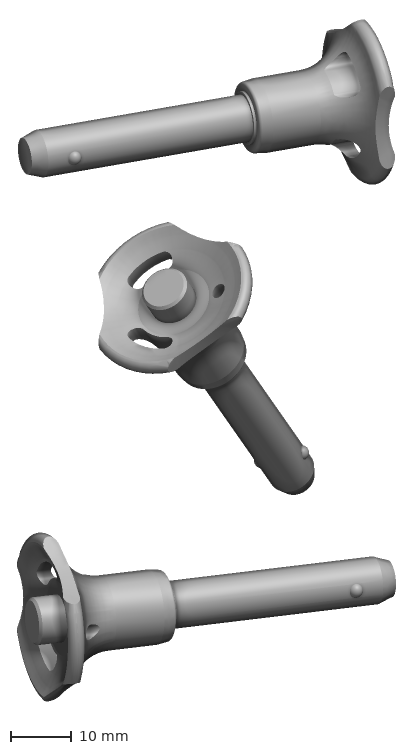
import cadquery as cq
import math


total_length = 62.5
pin_diameter = 7.95
pin_radius = pin_diameter / 2
tip_radius = 3.05
tip_chamfer_length = 2.55
ball_radius = 1.25
ball_depth = 55.25
ball_reach = 4.75
button_chamfer = 0.45

back_depth = 1.6
rim_diameter = 28.8
rim_outer_radius = rim_diameter / 2
rim_round_radius = 1.4
sleeve_radius = 6.25
sleeve_depth = 12.5
flare_radius = 8.1
taper_depth = 20.9
taper_radius = 6.0
nose_depth = 22.7
nose_round_radius = 0.5
collar_radius = 4.5
collar_depth = 23.6

dish_middle_radius = 11.45
dish_middle_depth = 2.55
dish_floor_radius = 6.25
dish_floor_depth = 4.75

scallop_count = 3
scallop_radius = 31.85
scallop_bottom = 11.45

opening_circle_radius = 8.1
hole_radius = 1.25
slot_width = 2.8
slot_half_angle = 29.8
slot_corner_radius = 1.25
slot_angles = (60.0, -60.0)


def revolve_about_y(profile):
    return profile.close().revolve(360, (0, 0, 0), (0, 1, 0))


def along_y(shape):
    """Turn a shape extruded along +Z so that it runs towards -Y, with its XY plane becoming XZ."""
    return shape.rotate((0, 0, 0), (1, 0, 0), 90)


def make_handle():
    round_center = rim_outer_radius - rim_round_radius
    rim_middle = back_depth + rim_round_radius
    flare_center = sleeve_radius + flare_radius
    flare_end_depth = sleeve_depth - math.sqrt(flare_radius**2 - (flare_center - round_center) ** 2)
    flare_mid_offset = flare_radius * math.sqrt(0.5)
    rim_mid_offset = rim_round_radius * math.sqrt(0.5)
    nose_end = nose_depth + nose_round_radius
    nose_round_inset = nose_round_radius * (1 - math.sqrt(0.5))
    profile = (
        cq.Workplane("XY")
        .moveTo(0, -dish_floor_depth)
        .lineTo(dish_floor_radius, -dish_floor_depth)
        .threePointArc((dish_middle_radius, -dish_middle_depth), (round_center, -back_depth))
        .threePointArc(
            (round_center + rim_mid_offset, -rim_middle + rim_mid_offset),
            (rim_outer_radius, -rim_middle),
        )
        .threePointArc(
            (round_center + rim_mid_offset, -rim_middle - rim_mid_offset),
            (round_center, -flare_end_depth),
        )
        .threePointArc(
            (flare_center - flare_mid_offset, -sleeve_depth + flare_mid_offset),
            (sleeve_radius, -sleeve_depth),
        )
        .lineTo(sleeve_radius, -taper_depth)
        .lineTo(taper_radius, -nose_depth)
        .threePointArc(
            (taper_radius - nose_round_inset, -nose_end + nose_round_inset),
            (taper_radius - nose_round_radius, -nose_end),
        )
        .lineTo(collar_radius, -nose_end)
        .lineTo(collar_radius, -collar_depth)
        .lineTo(0, -collar_depth)
    )
    return revolve_about_y(profile)


def make_scallops():
    center_distance = scallop_bottom + scallop_radius
    cutters = (
        cq.Workplane("XY")
        .polarArray(center_distance, 0, 360, scallop_count)
        .circle(scallop_radius)
        .extrude(sleeve_depth)
    )
    return along_y(cutters)


def make_openings():
    openings = cq.Workplane("XY").center(-opening_circle_radius, 0).circle(hole_radius).extrude(sleeve_depth)

    def slot_point(radius, angle):
        return radius * math.cos(math.radians(angle)), radius * math.sin(math.radians(angle))

    inner = opening_circle_radius - slot_width / 2
    outer = opening_circle_radius + slot_width / 2
    for angle in slot_angles:
        start = angle - slot_half_angle
        end = angle + slot_half_angle
        slot = (
            cq.Workplane("XY")
            .moveTo(*slot_point(inner, start))
            .threePointArc(slot_point(inner, angle), slot_point(inner, end))
            .lineTo(*slot_point(outer, end))
            .threePointArc(slot_point(outer, angle), slot_point(outer, start))
            .close()
            .extrude(sleeve_depth)
            .edges("|Z")
            .fillet(slot_corner_radius)
        )
        openings = openings.union(slot)
    return along_y(openings)


def make_pin():
    profile = (
        cq.Workplane("XY")
        .moveTo(0, 0)
        .lineTo(pin_radius - button_chamfer, 0)
        .lineTo(pin_radius, -button_chamfer)
        .lineTo(pin_radius, -total_length + tip_chamfer_length)
        .lineTo(tip_radius, -total_length)
        .lineTo(0, -total_length)
    )
    pin = revolve_about_y(profile)
    for side in (-1, 1):
        ball_center = (side * (ball_reach - ball_radius), -ball_depth, 0)
        pin = pin.union(cq.Workplane("XY").sphere(ball_radius).translate(ball_center))
    return pin


handle = make_handle().cut(make_scallops()).cut(make_openings())
result = handle.union(make_pin())